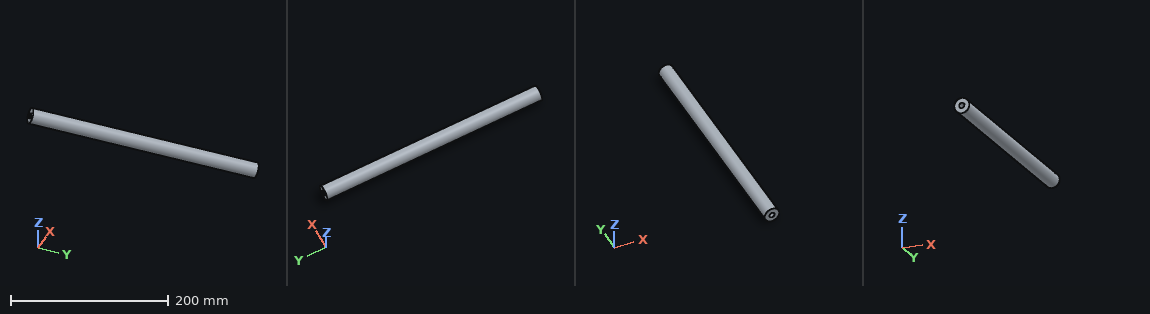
import cadquery as cq

length = 311.0
outer_diameter = 21.0
bore_diameter = 7.2

result = (
    cq.Workplane("XZ", origin=(0, length / 2, 0))
    .circle(outer_diameter / 2)
    .circle(bore_diameter / 2)
    .extrude(length)
)